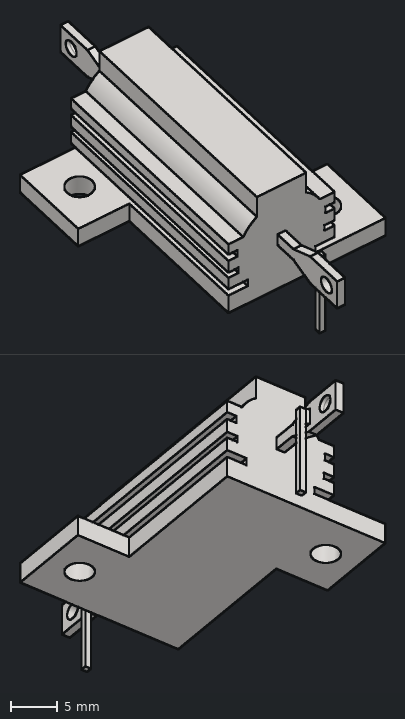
import cadquery as cq
import math


body_length = 29.0
body_half_width = 7.15
body_height = 15.05
base_thickness = 2.6
waist_half_width = 4.55
crest_half_width = 3.3
core_radius = 5.9
axis_height = 7.25
lowest_fin_bottom = 3.5
top_fin_top = 10.15

fin_grooves = [
    (5.2, 5.95, 5.75),
    (7.7, 8.6, 5.9),
]

ear_length = 10.75
ears_width = 28.0
ear_hole_diameter = 3.3
ear_hole_offset = 9.9

overall_length = 51.0
lug_thickness = 1.05
lug_height = 4.0
lug_neck_height = 1.6
lug_neck_end = 17.45
lug_blade_start = 20.5
lug_hole_position = 23.5
lug_hole_diameter = 2.0

wire_size = 0.75
wire_position = 20.0
wire_gap = 0.3
wire_bottom = -2.95
joint_height = 2.0
joint_flare = 0.3


def core_point(angle):
    """(Y, Z) of the point on the round core at an angle above the +Y direction."""
    return (core_radius * math.cos(angle), axis_height + core_radius * math.sin(angle))


def make_housing():
    shoulder_start = math.asin((top_fin_top - axis_height) / core_radius)
    shoulder_end = math.acos(crest_half_width / core_radius)
    shoulder_middle = (shoulder_start + shoulder_end) / 2
    half_profile = (
        cq.Workplane("YZ", origin=(-body_length / 2, 0, 0))
        .lineTo(body_half_width, 0)
        .lineTo(body_half_width, base_thickness)
        .lineTo(waist_half_width, base_thickness)
        .lineTo(waist_half_width, lowest_fin_bottom)
        .lineTo(body_half_width, lowest_fin_bottom)
    )
    for bottom, top, floor in fin_grooves:
        half_profile = (
            half_profile.lineTo(body_half_width, bottom)
            .lineTo(floor, bottom)
            .lineTo(floor, top)
            .lineTo(body_half_width, top)
        )
    half_housing = (
        half_profile.lineTo(body_half_width, top_fin_top)
        .lineTo(*core_point(shoulder_start))
        .threePointArc(core_point(shoulder_middle), core_point(shoulder_end))
        .lineTo(crest_half_width, body_height)
        .lineTo(0, body_height)
        .close()
        .extrude(body_length)
    )
    return half_housing.union(half_housing.mirror("XZ"))


def make_ear():
    """Ear at the +X, +Y corner; its inner edge lies on the centre plane, inside the base."""
    ear_reach = ears_width / 2
    ear_center = body_length / 2 - ear_length / 2
    return (
        cq.Workplane("XY")
        .center(ear_center, ear_reach / 2)
        .rect(ear_length, ear_reach)
        .extrude(base_thickness)
        .center(0, ear_hole_offset - ear_reach / 2)
        .circle(ear_hole_diameter / 2)
        .cutThruAll()
    )


def make_lug():
    """Lug at the +X end; its neck starts flush with the end of the housing."""
    body_end = body_length / 2
    lug_tip = overall_length / 2
    neck = lug_neck_height / 2
    blade = lug_height / 2
    outline = [
        (body_end, -neck),
        (lug_neck_end, -neck),
        (lug_blade_start, -blade),
        (lug_tip, -blade),
        (lug_tip, blade),
        (lug_blade_start, blade),
        (lug_neck_end, neck),
        (body_end, neck),
    ]
    lug = (
        cq.Workplane("XZ", origin=(0, 0, axis_height))
        .polyline(outline)
        .close()
        .extrude(lug_thickness / 2, both=True)
    )
    hole = (
        cq.Workplane("XZ", origin=(lug_hole_position, 0, axis_height))
        .circle(lug_hole_diameter / 2)
        .extrude(lug_thickness, both=True)
    )
    return lug.cut(hole)


def make_wire():
    """Square wire on the +Y side of the +X lug, with the flared joint at its top."""
    lug_face = lug_thickness / 2
    wire_near = lug_face + wire_gap
    half_size = wire_size / 2
    joint_top = axis_height + joint_height / 2
    joint_outline = [
        (-half_size - joint_flare, lug_face),
        (half_size + joint_flare, lug_face),
        (half_size, wire_near),
        (-half_size, wire_near),
    ]
    joint = (
        cq.Workplane("XY", origin=(wire_position, 0, joint_top - joint_height))
        .polyline(joint_outline)
        .close()
        .extrude(joint_height)
    )
    wire = (
        cq.Workplane("XY", origin=(wire_position, wire_near + half_size, wire_bottom))
        .rect(wire_size, wire_size)
        .extrude(joint_top - wire_bottom)
    )
    return joint.union(wire)


ear = make_ear()
terminal = make_lug().union(make_wire())

result = (
    make_housing()
    .union(ear)
    .union(ear.rotate((0, 0, 0), (0, 0, 1), 180))
    .union(terminal)
    .union(terminal.mirror("YZ"))
)